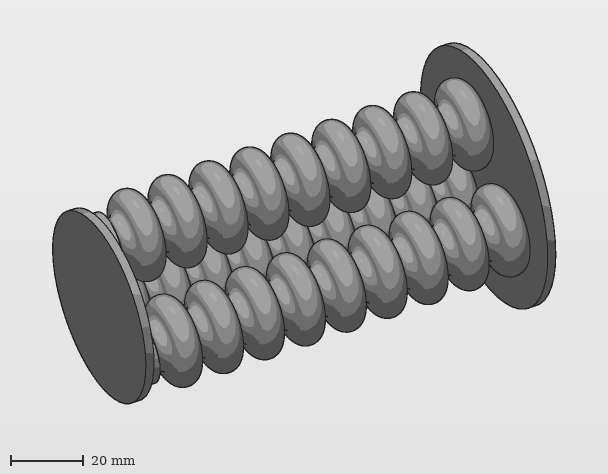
import cadquery as cq


total_length = 121.9
base_plate_diameter = 76.2
end_plate_diameter = 55.8
bellows_circle_radius = 17.8
bellows_mean_radius = 9.5
bellows_count = 3
lobe_count = 9
first_bellows_angle = 105.0

lobe_to_neck_ratio = 1.5
modules_per_pitch = 2 * (lobe_to_neck_ratio + 1)
modules_in_plates_and_collar = 3
module = total_length / (modules_in_plates_and_collar + lobe_count * modules_per_pitch)

plate_thickness = module
collar_length = module
neck_radius = module
lobe_radius = lobe_to_neck_ratio * module
lobe_pitch = 2 * (lobe_radius + neck_radius)

bellows_start_y = plate_thickness
base_plate_y = total_length - plate_thickness


def make_plate(diameter, start_y):
    """Flat round plate on the main axis, from start_y towards +Y."""
    plate = cq.Workplane("XZ", origin=(0, start_y, 0)).circle(diameter / 2)
    return plate.extrude(-plate_thickness)


def make_bellows(angle):
    """One solid bellows: a collar on the end plate, then necks and lobes up to the base plate."""
    first_neck_y = bellows_start_y + collar_length
    neck_bottom = bellows_mean_radius - neck_radius
    lobe_top = bellows_mean_radius + lobe_radius

    profile = (
        cq.Workplane("XY")
        .moveTo(0, bellows_start_y)
        .lineTo(bellows_mean_radius, bellows_start_y)
        .lineTo(bellows_mean_radius, first_neck_y)
    )
    for lobe_index in range(lobe_count):
        neck_middle = first_neck_y + lobe_index * lobe_pitch + neck_radius
        neck_end = neck_middle + neck_radius
        lobe_middle = neck_end + lobe_radius
        lobe_end = lobe_middle + lobe_radius
        profile = (
            profile
            .threePointArc((neck_bottom, neck_middle), (bellows_mean_radius, neck_end))
            .threePointArc((lobe_top, lobe_middle), (bellows_mean_radius, lobe_end))
        )
    bellows = profile.lineTo(0, base_plate_y).close().revolve(360, (0, 0, 0), (0, 1, 0))

    return bellows.translate((bellows_circle_radius, 0, 0)).rotate((0, 0, 0), (0, 1, 0), -angle)


end_plate = make_plate(end_plate_diameter, 0)
base_plate = make_plate(base_plate_diameter, base_plate_y)

bellows_solids = []
for bellows_index in range(bellows_count):
    bellows_angle = first_bellows_angle + bellows_index * 360 / bellows_count
    bellows_solids.append(make_bellows(bellows_angle).val())

result = cq.Compound.makeCompound([end_plate.val(), base_plate.val(), *bellows_solids])